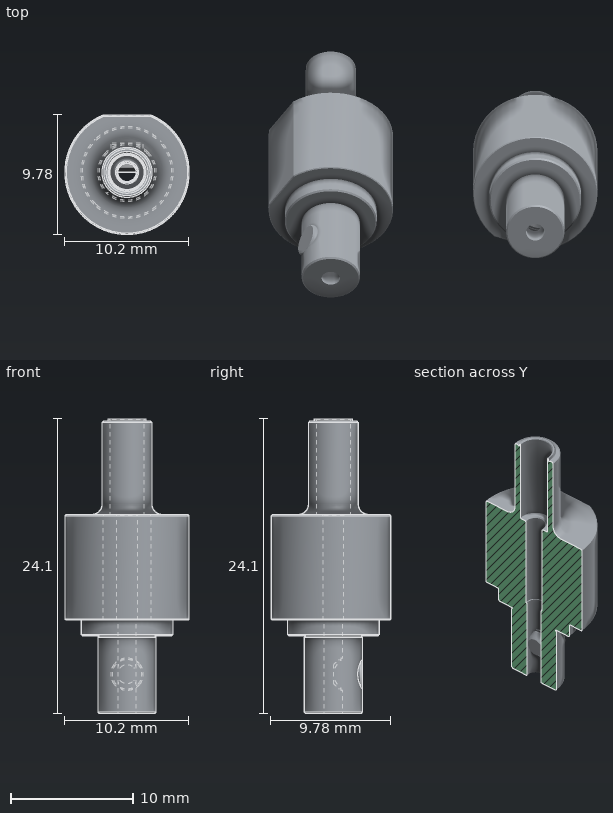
import cadquery as cq

length = 24.08

body_radius = 5.08
body_bottom = 7.65
body_top = 16.28
body_top_chamfer = 0.12
body_bottom_chamfer = 0.07
flat_offset = 4.7

collar_radius = 3.75
collar_bottom = 6.35
collar_chamfer = 0.12

lower_stem_radius = 2.38
lower_stem_chamfer = 0.12

upper_stem_radius = 2.05
root_fillet = 0.82
upper_stem_chamfer = 0.15

liner_radius = 1.57
liner_projection = 0.17
liner_bevel = 0.07
seat_bevel = 0.15

upper_bore_radius = 1.4
upper_bore_bottom = body_top
middle_bore_radius = 0.85
middle_bore_bottom = body_bottom
middle_bore_bevel = 0.1
lower_bore_radius = 0.75

plug_height = 3.23
plug_radius = 1.32
plug_end = lower_stem_radius
plug_chamfer = 0.12
plug_tip_length = 0.45
plug_tip_radius = 0.77
plug_neck_radius = 1.2
plug_neck_end = 0.6


def cylinder(radius, bottom, top):
    """Cylinder on the Z axis between two heights."""
    return cq.Workplane("XY").workplane(offset=bottom).circle(radius).extrude(top - bottom)


def make_body():
    body = cylinder(body_radius, body_bottom, body_top)
    width = 2 * body_radius
    keep = (
        cq.Workplane("XY")
        .workplane(offset=body_bottom)
        .center(0, flat_offset - body_radius)
        .rect(width, width)
        .extrude(body_top - body_bottom)
    )
    body = body.intersect(keep)
    body = body.faces(">Z").chamfer(body_top_chamfer)
    return body.faces("<Z").chamfer(body_bottom_chamfer)


def make_collar():
    return cylinder(collar_radius, collar_bottom, body_bottom).faces("<Z").chamfer(collar_chamfer)


def make_lower_stem():
    return cylinder(lower_stem_radius, 0, collar_bottom).faces("<Z or >Z").chamfer(lower_stem_chamfer)


def make_upper_stem():
    """Revolved stem profile, with the root fillet, top rim, liner seat and liner."""
    rim = length - liner_projection
    root_radius = upper_stem_radius + root_fillet
    fillet_top = body_top + root_fillet
    fillet_mid = root_fillet * (1 - 0.5 ** 0.5)
    return (
        cq.Workplane("XZ")
        .moveTo(0, body_top)
        .lineTo(root_radius, body_top)
        .threePointArc(
            (upper_stem_radius + fillet_mid, body_top + fillet_mid),
            (upper_stem_radius, fillet_top),
        )
        .lineTo(upper_stem_radius, rim - upper_stem_chamfer)
        .lineTo(upper_stem_radius - upper_stem_chamfer, rim)
        .lineTo(liner_radius + seat_bevel, rim)
        .lineTo(liner_radius, rim - seat_bevel)
        .lineTo(liner_radius, length)
        .lineTo(0, length)
        .close()
        .revolve(360, (0, 0), (0, 1))
    )


def make_bore():
    """Stepped through bore with bevels at the liner mouth and the middle bore."""
    return (
        cq.Workplane("XZ")
        .lineTo(lower_bore_radius, 0)
        .lineTo(lower_bore_radius, middle_bore_bottom)
        .lineTo(middle_bore_radius, middle_bore_bottom)
        .lineTo(middle_bore_radius, upper_bore_bottom - middle_bore_bevel)
        .lineTo(middle_bore_radius + middle_bore_bevel, upper_bore_bottom)
        .lineTo(upper_bore_radius, upper_bore_bottom)
        .lineTo(upper_bore_radius, length - liner_bevel)
        .lineTo(upper_bore_radius + liner_bevel, length)
        .lineTo(0, length)
        .close()
        .revolve(360, (0, 0), (0, 1))
    )


def make_plug():
    """Plug on a +Y axis, with a tapered tip, a short neck and a chamfered outer end."""
    return (
        cq.Workplane("XY", origin=(0, 0, plug_height))
        .lineTo(plug_tip_radius, 0)
        .lineTo(plug_neck_radius, plug_tip_length)
        .lineTo(plug_neck_radius, plug_neck_end)
        .lineTo(plug_radius, plug_neck_end)
        .lineTo(plug_radius, plug_end - plug_chamfer)
        .lineTo(plug_radius - plug_chamfer, plug_end)
        .lineTo(0, plug_end)
        .close()
        .revolve(360, (0, 0), (0, 1))
    )


housing = make_body().union(make_collar()).union(make_lower_stem()).union(make_upper_stem())
result = housing.cut(make_bore()).union(make_plug())